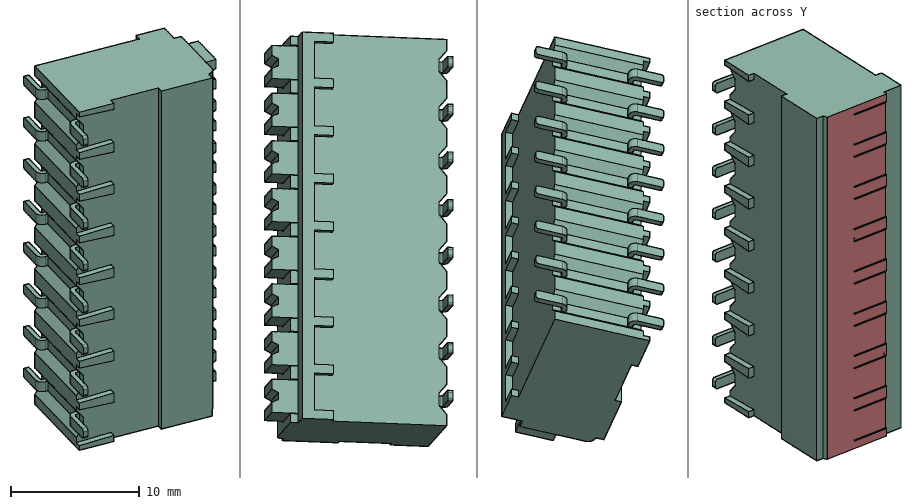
import cadquery as cq

height = 30.87
pole_count = 8
end_margin = 2.1
pitch = (height - 2 * end_margin) / (pole_count - 1)
pole_centers = [end_margin + i * pitch for i in range(pole_count)]
wall_centers = [z + pitch / 2 for z in pole_centers[:-1]]

core_half_width = 3.65
shoulder_y = 11.6

head_left = -2.53
head_right = 3.55
head_y = 12.22
head_right_slant = 0.3
head_radius = 0.62

left_flange_x = -4.23
left_flange_y = 10.62
left_tab_y = 9.15
left_tab_height = 0.7

right_x = 4.17
right_panel_y = 7.15
right_rib_y = 3.03
right_rib_height = 0.62
right_end_rib_height = 0.43
right_rib_draft = 0.12

groove_depth = 0.62
groove_opening = 2.4
groove_floor = 0.95

contact_span = 10.5
contact_height = 0.85
contact_thickness = 0.4
contact_front_y = -0.2
contact_bend_radius = 0.55
contact_bend_center_x = 3.1
contact_root_y = groove_depth + 0.3
contact_tip_radius = 0.22

lever_left = -2.45
lever_right = 0.68
lever_y = 13.68
lever_height = 2.65
lever_notch_depth = 0.52
lever_notch_opening = 1.05
lever_notch_floor = 0.52
lever_pocket_height = 2.78


def block(x0, x1, y0, y1, z0, z1):
    """Axis-aligned box between two opposite corners."""
    return cq.Workplane("XY").box(x1 - x0, y1 - y0, z1 - z0, centered=False).translate((x0, y0, z0))


def slab(x0, x1, y0, y1, z_center, thickness):
    """Box centred on a height."""
    return block(x0, x1, y0, y1, z_center - thickness / 2, z_center + thickness / 2)


def tapered_prism(x0, x1, face_y, floor_y, z_center, opening, floor):
    """Trapezoid prism along X, centred on a height, with one width at each depth."""
    outline = [
        (face_y, z_center - opening / 2),
        (floor_y, z_center - floor / 2),
        (floor_y, z_center + floor / 2),
        (face_y, z_center + opening / 2),
    ]
    return cq.Workplane("YZ").workplane(offset=x0).polyline(outline).close().extrude(x1 - x0)


def make_head():
    """Raised block with a slanted right side and a rounded rear right edge."""
    outline = [
        (head_left, shoulder_y),
        (head_right, shoulder_y),
        (head_right - head_right_slant, head_y),
        (head_left, head_y),
    ]
    head = cq.Workplane("XY").polyline(outline).close().extrude(height)
    rounded_edge = cq.selectors.NearestToPointSelector((head_right - head_right_slant, head_y, height / 2))
    return head.edges(rounded_edge).fillet(head_radius)


def make_left_tabs():
    """Tabs reaching forward from the left flange, one per wall and one at each end."""
    tab_centers = [left_tab_height / 2, *wall_centers, height - left_tab_height / 2]
    tabs = cq.Workplane("XY")
    for z in tab_centers:
        tabs = tabs.add(slab(left_flange_x, -core_half_width, left_tab_y, left_flange_y, z, left_tab_height))
    return tabs.combine()


def make_right_ribs():
    """Short drafted ribs at the front of the right side, one per wall and half a rib at each end."""
    rib_sizes = [(z, right_rib_height) for z in wall_centers]
    rib_sizes += [(z, 2 * right_end_rib_height) for z in (0, height)]
    ribs = cq.Workplane("XY")
    for z, front_height in rib_sizes:
        rear_height = front_height + 2 * right_rib_draft
        ribs = ribs.add(
            tapered_prism(core_half_width, right_x, 0, right_rib_y, z, front_height, rear_height)
        )
    return ribs.combine().intersect(block(core_half_width, right_x, 0, right_rib_y, 0, height))


def make_housing():
    """Core block with the raised head, the left flange and tabs, and the right panel and ribs."""
    core = block(-core_half_width, core_half_width, 0, shoulder_y, 0, height)
    left_flange = block(left_flange_x, -core_half_width, left_flange_y, shoulder_y, 0, height)
    right_panel = block(core_half_width, right_x, right_panel_y, shoulder_y, 0, height)
    housing = core.union(make_head()).union(left_flange).union(right_panel)
    return housing.union(make_left_tabs()).union(make_right_ribs())


def make_contact_half(z_center):
    """Right-hand contact: a leg from the housing, a rounded bend and a flat tail."""
    back_y = contact_front_y + contact_thickness
    tip_x = contact_span / 2
    leg_x = contact_bend_center_x - contact_bend_radius
    bend_center_y = contact_front_y + contact_bend_radius
    inner_radius = contact_bend_radius - contact_thickness
    z0 = z_center - contact_height / 2
    return (
        cq.Workplane("XY", origin=(0, 0, z0))
        .moveTo(tip_x, contact_front_y)
        .lineTo(contact_bend_center_x, contact_front_y)
        .radiusArc((leg_x, bend_center_y), contact_bend_radius)
        .lineTo(leg_x, contact_root_y)
        .lineTo(leg_x + contact_thickness, contact_root_y)
        .lineTo(leg_x + contact_thickness, bend_center_y)
        .radiusArc((contact_bend_center_x, back_y), -inner_radius)
        .lineTo(tip_x, back_y)
        .close()
        .extrude(contact_height)
        .edges("|Y and >X")
        .fillet(contact_tip_radius)
    )


def make_lever(z_center):
    """Lever block with a tapered notch across its rear face."""
    lever = slab(lever_left, lever_right, shoulder_y, lever_y, z_center, lever_height)
    notch = tapered_prism(
        lever_left,
        lever_right,
        lever_y,
        lever_y - lever_notch_depth,
        z_center,
        lever_notch_opening,
        lever_notch_floor,
    )
    return lever.cut(notch)


result = make_housing()

for z in pole_centers:
    groove = tapered_prism(left_flange_x, right_x, 0, groove_depth, z, groove_opening, groove_floor)
    pocket = slab(head_left, lever_right, shoulder_y, head_y, z, lever_pocket_height)
    result = result.cut(groove).cut(pocket)

for z in pole_centers:
    right_contact = make_contact_half(z)
    left_contact = right_contact.mirror("YZ")
    result = result.union(right_contact).union(left_contact).union(make_lever(z))